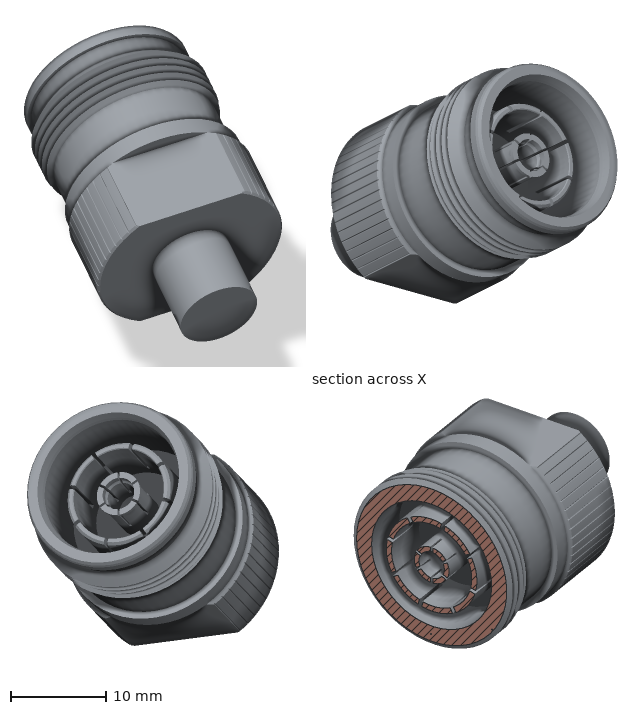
import cadquery as cq
import math

TOTAL_LENGTH = 32.5

rim_radius = 9.23
rim_face_radius = 8.9
rim_bevel_radius = 9.13
rim_bevel_length = 0.32
rim_taper_length = 0.62
rim_length = 1.5
neck_radius = 8.75
neck_end = 3.22
body_end = 14.0

first_crest = 4.52
thread_radius = 20.0 / 2
thread_root_radius = 9.23
thread_pitch = 1.0
thread_runout_radius = 9.78
thread_rings = 4

flange_end = 15.9
grip_end = 24.55
grip_radius = 10.4
grip_front_chamfer = 0.35
grip_back_chamfer_length = 0.25
grip_back_chamfer_depth = 0.2
grip_flat_height = 8.45
knurl_count = 60
knurl_width = 0.15
knurl_depth = 0.13

tail_radius = 4.32

mouth_radius = 7.85
mouth_taper_radius = 7.6
mouth_taper_depth = 0.85
bore_radius = 7.5
bore_start = 1.25
bore_depth = 10.4

ring_front = 3.2
ring_outer_radius = 5.72
ring_inner_radius = 5.0
ring_bevel = 0.25
ring_inner_bevel = 0.1
ring_slot_count = 8
ring_slot_angle = 15.0
ring_slot_width = 0.42
ring_slot_length = 5.85

collar_radius = 3.87
collar_height = 0.32
pin_front = 3.22
pin_head_radius = 2.4
pin_head_bore_radius = 1.75
pin_head_length = 0.4
pin_neck_in = 0.2
pin_bore_step_depth = 0.75
pin_bore_step_length = 0.3
pin_bore_depth = 4.88
pin_cone_depth = 0.55
pin_slot_count = 6
pin_slot_angle = 30.0
pin_slot_width = 0.25
pin_slot_length = 3.9


def revolve_about_x(points):
    """Turn a closed (x, radius) outline around the X axis."""
    return cq.Workplane("XY").polyline(points).close().revolve(360, (0, 0, 0), (1, 0, 0))


def cylinder(start, end, radius):
    return cq.Workplane("YZ").workplane(offset=start).circle(radius).extrude(end - start)


def thread_points():
    """Outline of the thread from the end of the lead-in to the end of the run-out."""
    flank = thread_pitch / 2
    points = []
    for ring in range(thread_rings):
        crest = first_crest + ring * thread_pitch
        points.append((crest, thread_radius))
        points.append((crest + flank, thread_root_radius))
    last_root = points[-1][0]
    runout_rise = thread_runout_radius - thread_root_radius
    runout_crest = last_root + flank * runout_rise / (thread_radius - thread_root_radius)
    points.append((runout_crest, thread_runout_radius))
    points.append((runout_crest + runout_rise, thread_root_radius))
    return points


def shell():
    flange_radius = thread_radius
    outline = [
        (0, 0),
        (0, rim_face_radius),
        (rim_bevel_length, rim_bevel_radius),
        (rim_taper_length, rim_radius),
        (rim_length, rim_radius),
        (rim_length, neck_radius),
        (neck_end, neck_radius),
        *thread_points(),
        (body_end, thread_root_radius),
        (body_end, flange_radius),
        (flange_end, flange_radius),
        (flange_end, tail_radius),
        (TOTAL_LENGTH, tail_radius),
        (TOTAL_LENGTH, 0),
    ]
    return revolve_about_x(outline)


def grip():
    """Chamfered drum with knurl grooves and two flats facing up and down."""
    drum = revolve_about_x([
        (flange_end, 0),
        (flange_end, thread_radius),
        (flange_end + grip_front_chamfer, grip_radius),
        (grip_end - grip_back_chamfer_length, grip_radius),
        (grip_end, grip_radius - grip_back_chamfer_depth),
        (grip_end, 0),
    ])
    groove = (
        cq.Workplane("YZ")
        .workplane(offset=flange_end)
        .polyline([
            (grip_radius - knurl_depth, 0),
            (grip_radius + knurl_depth, knurl_width),
            (grip_radius + knurl_depth, -knurl_width),
        ])
        .close()
        .extrude(grip_end - flange_end)
    )
    step = 360 / knurl_count
    flat_reach = math.degrees(math.asin(grip_flat_height / grip_radius))
    grooves_each_way = int(flat_reach / step)
    cutters = []
    for side in (0, 180):
        for index in range(-grooves_each_way, grooves_each_way + 1):
            cutters.append(groove.rotate((0, 0, 0), (1, 0, 0), side + index * step).val())
    length = grip_end - flange_end
    flats = (
        cq.Workplane("XY")
        .box(length, 2 * grip_radius, 2 * grip_flat_height)
        .translate((flange_end + length / 2, 0, 0))
    )
    return drum.cut(cq.Compound.makeCompound(cutters)).intersect(flats)


def socket_cavity():
    return revolve_about_x([
        (0, 0),
        (0, mouth_radius),
        (mouth_taper_depth, mouth_taper_radius),
        (bore_start, bore_radius),
        (bore_depth, bore_radius),
        (bore_depth, 0),
    ])


def radial_slot(start, end, inner, outer, width, angle):
    """Block that cuts one radial slot at the given angle from +Y."""
    return (
        cq.Workplane("XY")
        .box(end - start, outer - inner, width)
        .translate(((start + end) / 2, (inner + outer) / 2, 0))
        .rotate((0, 0, 0), (1, 0, 0), angle)
    )


def contact_ring():
    ring = revolve_about_x([
        (ring_front + ring_inner_bevel, ring_inner_radius),
        (ring_front, ring_inner_radius + ring_inner_bevel),
        (ring_front, ring_outer_radius - ring_bevel),
        (ring_front + ring_bevel, ring_outer_radius),
        (bore_depth, ring_outer_radius),
        (bore_depth, ring_inner_radius),
    ])
    for index in range(ring_slot_count):
        angle = ring_slot_angle + index * 360 / ring_slot_count
        slot = radial_slot(
            ring_front, ring_front + ring_slot_length, collar_radius, bore_radius, ring_slot_width, angle
        )
        ring = ring.cut(slot)
    return ring


def centre_contact():
    bore_end = pin_front + pin_bore_depth
    head_end = pin_front + pin_head_length
    bore_step = pin_front + pin_bore_step_depth
    neck_bore_radius = pin_head_bore_radius - pin_neck_in
    neck_outer_radius = pin_head_radius - pin_neck_in
    pin = revolve_about_x([
        (pin_front, pin_head_bore_radius),
        (pin_front, pin_head_radius),
        (head_end, pin_head_radius),
        (head_end + pin_neck_in, neck_outer_radius),
        (bore_depth, neck_outer_radius),
        (bore_depth, 0),
        (bore_end + pin_cone_depth, 0),
        (bore_end, neck_bore_radius),
        (bore_step + pin_bore_step_length, neck_bore_radius),
        (bore_step, pin_head_bore_radius),
    ])
    for index in range(pin_slot_count):
        angle = pin_slot_angle + index * 360 / pin_slot_count
        slot = radial_slot(
            pin_front, pin_front + pin_slot_length, 0, collar_radius, pin_slot_width, angle
        )
        pin = pin.cut(slot)
    return pin


collar = cylinder(bore_depth - collar_height, bore_depth, collar_radius)

result = (
    shell()
    .union(grip())
    .cut(socket_cavity())
    .union(collar)
    .union(contact_ring())
    .union(centre_contact())
)